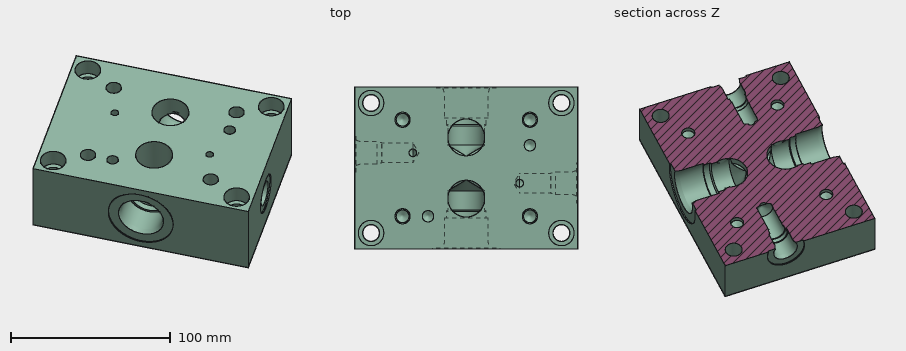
import cadquery as cq
import math

LENGTH = 139.7
WIDTH = 101.5
HEIGHT = 50.9
TOP_Z = HEIGHT / 2

DRILL_POINT_ANGLE = 118.0
HALF_POINT_ANGLE = math.radians(DRILL_POINT_ANGLE / 2)

MOUNT_X = 59.5
MOUNT_Y = 40.7
MOUNT_DIA = 10.3
MOUNT_HEAD_DIA = 15.9
MOUNT_HEAD_DEPTH = 11.5

BOLT_X = 39.8
BOLT_Y = 30.2
BOLT_THREAD_DIA = 9.5
BOLT_DRILL_DIA = 8.0
BOLT_THREAD_DEPTH = 19.0
BOLT_DRILL_DEPTH = 23.7

PIN_DIA = 7.1
PIN_DEPTH = 8.0
PIN_SPOTS = [(BOLT_X, 14.2), (-23.9, -BOLT_Y)]

MAIN_BORE_DIA = 23.0
MAIN_BORE_Y = 19.1
MAIN_SPOTFACE_DIA = 42.0
MAIN_SEAT_MOUTH_DIA = 29.2
MAIN_SEAT_DEPTH = 4.0
MAIN_THREAD_DIA = 27.4
MAIN_THREAD_DEPTH = 19.5
MAIN_RELIEF_DIA = 24.9
MAIN_RELIEF_DEPTH = 23.6
MAIN_DRILL_OVERRUN = 0.3

PILOT_BORE_DIA = 4.7
PILOT_BORE_X = 33.4
PILOT_Y = 9.5
PILOT_SPOTFACE_DIA = 25.0
PILOT_SEAT_MOUTH_DIA = 15.9
PILOT_SEAT_DEPTH = 3.4
PILOT_THREAD_DIA = 14.2
PILOT_THREAD_DEPTH = 14.0
PILOT_RELIEF_DIA = 12.9
PILOT_RELIEF_DEPTH = 16.8
PILOT_DRILL_DIA = 12.3

SPOTFACE_DEPTH = 0.8


def point_height(diameter):
    """Length of the conical tip left by a drill."""
    return diameter / 2 / math.tan(HALF_POINT_ANGLE)


def turned(profile):
    """Revolve (radius, height) points about the Z axis, closing the profile along it."""
    return cq.Workplane("XZ").polyline(profile).close().revolve(360, (0, 0), (0, 1))


def drill(diameter, depth):
    """Blind hole cutter going down from the origin, depth measured to the shoulder."""
    radius = diameter / 2
    return turned([
        (0, 0),
        (radius, 0),
        (radius, -depth),
        (0, -depth - point_height(diameter)),
    ])


def from_top(cutter, spots):
    """Copies of a cutter placed on the top face."""
    copies = cq.Workplane("XY")
    for x, y in spots:
        copies = copies.add(cutter.translate((x, y, TOP_Z)))
    return copies.combine()


def port(
    spotface, seat_mouth, seat_depth, thread, thread_depth,
    relief, relief_depth, drill_dia, drill_depth,
):
    """Spotfaced, threaded port cutter going down from the origin."""
    relief_end_taper = (relief - drill_dia) / 2
    return turned([
        (0, 0),
        (spotface / 2, 0),
        (spotface / 2, -SPOTFACE_DEPTH),
        (seat_mouth / 2, -SPOTFACE_DEPTH),
        (thread / 2, -seat_depth),
        (thread / 2, -thread_depth),
        (relief / 2, -thread_depth),
        (relief / 2, -relief_depth),
        (drill_dia / 2, -relief_depth - relief_end_taper),
        (drill_dia / 2, -drill_depth),
        (0, -drill_depth - point_height(drill_dia)),
    ])


def with_opposite(cutter):
    """A cutter and its copy turned half way round the block."""
    return cutter.union(cutter.rotate((0, 0, 0), (0, 0, 1), 180))


def four_corners(x, y):
    """Points at every sign combination of x and y."""
    return [(sx * x, sy * y) for sx in (-1, 1) for sy in (-1, 1)]


def main_passages():
    """Both main flow passages as one cutter."""
    tip_depth = WIDTH / 2 - MAIN_BORE_Y + MAIN_BORE_DIA / 2 + MAIN_DRILL_OVERRUN
    drill_depth = tip_depth - point_height(MAIN_BORE_DIA)
    side_port = port(
        MAIN_SPOTFACE_DIA, MAIN_SEAT_MOUTH_DIA, MAIN_SEAT_DEPTH, MAIN_THREAD_DIA, MAIN_THREAD_DEPTH,
        MAIN_RELIEF_DIA, MAIN_RELIEF_DEPTH, MAIN_BORE_DIA, drill_depth,
    )
    side_port = side_port.rotate((0, 0, 0), (1, 0, 0), 90).translate((0, -WIDTH / 2, 0))
    bore = from_top(drill(MAIN_BORE_DIA, TOP_Z), [(0, -MAIN_BORE_Y)])
    return with_opposite(side_port.union(bore))


def pilot_passages():
    """Both pilot passages as one cutter."""
    drill_depth = LENGTH / 2 - PILOT_BORE_X
    side_port = port(
        PILOT_SPOTFACE_DIA, PILOT_SEAT_MOUTH_DIA, PILOT_SEAT_DEPTH, PILOT_THREAD_DIA, PILOT_THREAD_DEPTH,
        PILOT_RELIEF_DIA, PILOT_RELIEF_DEPTH, PILOT_DRILL_DIA, drill_depth,
    )
    side_port = side_port.rotate((0, 0, 0), (0, 1, 0), -90).translate((-LENGTH / 2, PILOT_Y, 0))
    bore = from_top(drill(PILOT_BORE_DIA, TOP_Z), [(-PILOT_BORE_X, PILOT_Y)])
    return with_opposite(side_port.union(bore))


block = cq.Workplane("XY").box(LENGTH, WIDTH, HEIGHT)

block = (
    block.faces(">Z").workplane()
    .pushPoints(four_corners(MOUNT_X, MOUNT_Y))
    .cboreHole(MOUNT_DIA, MOUNT_HEAD_DIA, MOUNT_HEAD_DEPTH)
)

bolt_spots = four_corners(BOLT_X, BOLT_Y)
block = block.cut(from_top(drill(BOLT_DRILL_DIA, BOLT_DRILL_DEPTH), bolt_spots))
bolt_thread = cq.Workplane("XY").circle(BOLT_THREAD_DIA / 2).extrude(-BOLT_THREAD_DEPTH)
block = block.cut(from_top(bolt_thread, bolt_spots))

block = block.cut(from_top(drill(PIN_DIA, PIN_DEPTH), PIN_SPOTS))

result = block.cut(main_passages()).cut(pilot_passages())